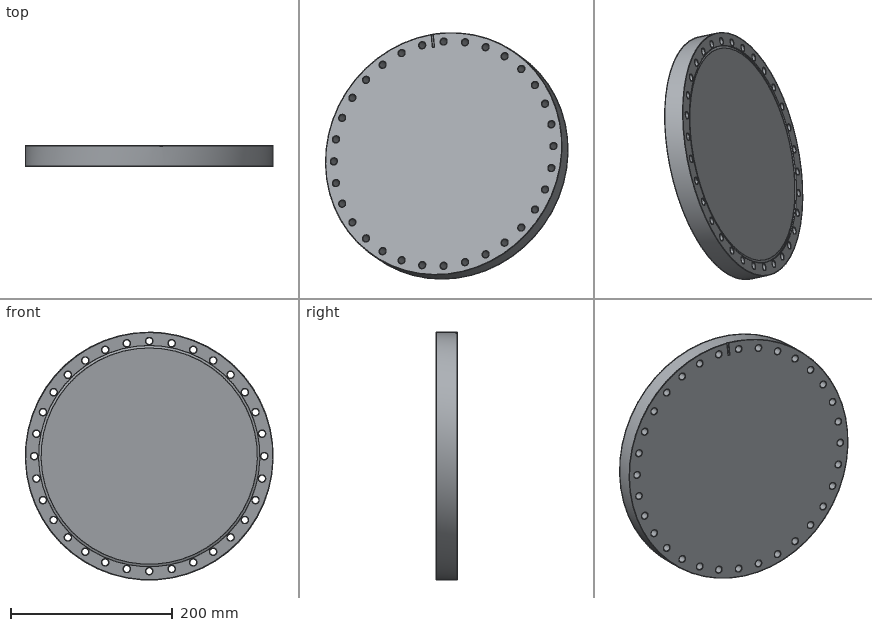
import cadquery as cq
import math

flange_diameter = 306.0
flange_thickness = 26.0
rim_chamfer = 0.4

bolt_count = 32
bolt_circle_diameter = 284.0
bolt_hole_diameter = 8.4
bolt_hole_chamfer = 0.4

groove_outer_diameter = 273.2
groove_inner_diameter = 267.0
groove_slope_angle = 20.0
centre_recess = 0.8

notch_width = 2.5
notch_depth = 1.5

flange_radius = flange_diameter / 2
bolt_circle_radius = bolt_circle_diameter / 2
groove_outer_radius = groove_outer_diameter / 2
groove_inner_radius = groove_inner_diameter / 2
groove_depth = (groove_outer_radius - groove_inner_radius) * math.tan(math.radians(groove_slope_angle))
bolt_pitch_angle = 360.0 / bolt_count
front_y = -flange_thickness / 2
back_y = flange_thickness / 2
recess_y = front_y + centre_recess


def revolve_about_y(section):
    """Turn a closed section, drawn as (y, radius) in the YZ plane, about the Y axis."""
    return section.close().revolve(360, (0, 0, 0), (1, 0, 0))


def make_flange():
    """Disc with both rim edges chamfered and the centre recess and groove in its front face."""
    section = (
        cq.Workplane("YZ")
        .moveTo(recess_y, 0)
        .lineTo(recess_y, groove_inner_radius)
        .lineTo(recess_y + groove_depth, groove_outer_radius)
        .lineTo(front_y, groove_outer_radius)
        .lineTo(front_y, flange_radius - rim_chamfer)
        .lineTo(front_y + rim_chamfer, flange_radius)
        .lineTo(back_y - rim_chamfer, flange_radius)
        .lineTo(back_y, flange_radius - rim_chamfer)
        .lineTo(back_y, 0)
    )
    return revolve_about_y(section)


def make_bolt_hole():
    """Cutter at the origin for one through hole, countersunk at both faces."""
    hole_radius = bolt_hole_diameter / 2
    mouth_radius = hole_radius + bolt_hole_chamfer
    section = (
        cq.Workplane("YZ")
        .moveTo(front_y, 0)
        .lineTo(front_y, mouth_radius)
        .lineTo(front_y + bolt_hole_chamfer, hole_radius)
        .lineTo(back_y - bolt_hole_chamfer, hole_radius)
        .lineTo(back_y, mouth_radius)
        .lineTo(back_y, 0)
    )
    return revolve_about_y(section)


def make_bolt_circle():
    """All hole cutters, equally spaced, the first one at the top."""
    hole = make_bolt_hole().translate((0, 0, bolt_circle_radius)).val()
    axis_start = cq.Vector(0, 0, 0)
    axis_end = cq.Vector(0, 1, 0)
    holes = [hole.rotate(axis_start, axis_end, index * bolt_pitch_angle) for index in range(bolt_count)]
    return cq.Workplane(cq.Compound.makeCompound(holes))


def make_notch():
    """Radial slot in the back face, midway between the top hole and its +X neighbour."""
    slot_length = flange_radius - groove_outer_radius
    slot = cq.Workplane("XY").box(notch_width, notch_depth, slot_length)
    return (
        slot.translate((0, back_y - notch_depth / 2, groove_outer_radius + slot_length / 2))
        .rotate((0, 0, 0), (0, 1, 0), bolt_pitch_angle / 2)
    )


result = make_flange().cut(make_bolt_circle()).cut(make_notch())